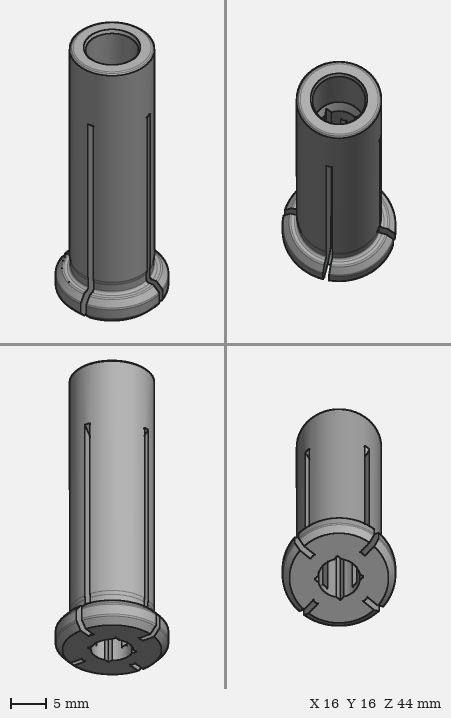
import cadquery as cq
import math

length = 44
cut_margin = 0.45

head_radius = 8.0
head_height = 4.1
head_end_radius = 7.0
lower_chamfer_height = 1.1
upper_chamfer_height = 1.1
head_corner_fillet = 0.4
head_rim_fillet = 0.35

body_radius = 12.0 / 2
neck_radius = 5.9
neck_fillet = 0.45
neck_top = 5.68
body_bottom = 6.25
body_top_chamfer = 0.35
body_top_fillet = 0.35

upper_bore_radius = 7.5 / 2
upper_bore_depth = 8.8
bore_step_angle = 60
mouth_chamfer = 0.25
mouth_chamfer_height = 0.55
lower_bore_radius = 5.95 / 2
drive_square = 4.9

slot_width = 0.9
slot_outer_top = 34.05
slot_inner_bottom = 2.05
slot_count = 4


def fillet_ring(body, height, radius):
    """Round the circular edge centred on the axis at the given height."""
    edge = cq.selectors.NearestToPointSelector((0, 0, height))
    return body.edges("%CIRCLE").edges(edge).fillet(radius)


def make_outer_body():
    shoulder = head_height - upper_chamfer_height
    profile = [
        (0, 0),
        (head_end_radius, 0),
        (head_radius, lower_chamfer_height),
        (head_radius, shoulder),
        (head_end_radius, head_height),
        (neck_radius, head_height),
        (neck_radius, neck_top),
        (body_radius, body_bottom),
        (body_radius, length),
        (0, length),
    ]
    body = cq.Workplane("XZ").polyline(profile).close().revolve(360, (0, 0), (0, 1))
    body = fillet_ring(body, shoulder, head_corner_fillet)
    body = fillet_ring(body, lower_chamfer_height, head_corner_fillet)
    body = body.faces(">Z").edges().chamfer(body_top_chamfer)
    body = body.faces(">Z").edges().fillet(body_top_fillet)

    head_face = body.faces(cq.selectors.NearestToPointSelector((0, 0, head_height)))
    rim = head_face.edges(cq.selectors.RadiusNthSelector(1))
    body = rim.fillet(head_rim_fillet)
    head_face = body.faces(cq.selectors.NearestToPointSelector((0, 0, head_height)))
    root = head_face.edges(cq.selectors.RadiusNthSelector(0))
    return root.fillet(neck_fillet)


def make_bore():
    step_top = length - upper_bore_depth
    cone_height = (upper_bore_radius - lower_bore_radius) / math.tan(math.radians(bore_step_angle / 2))
    profile = [
        (0, -cut_margin),
        (lower_bore_radius, -cut_margin),
        (lower_bore_radius, step_top - cone_height),
        (upper_bore_radius, step_top),
        (upper_bore_radius, length - mouth_chamfer_height),
        (upper_bore_radius + mouth_chamfer, length),
        (0, length),
    ]
    bore = cq.Workplane("XZ").polyline(profile).close().revolve(360, (0, 0), (0, 1))
    drive = (
        cq.Workplane("XY", origin=(0, 0, -cut_margin))
        .rect(drive_square, drive_square)
        .extrude(step_top + cut_margin)
    )
    return bore.union(drive)


def make_slot():
    """One radial slot, growing longer outwards at both 45 degree ends."""
    slot_reach = head_radius + cut_margin
    ramp_offset = slot_outer_top - body_radius
    lower_offset = slot_inner_bottom + lower_bore_radius
    profile = [
        (0, lower_offset),
        (slot_reach, lower_offset - slot_reach),
        (slot_reach, ramp_offset + slot_reach),
        (0, ramp_offset),
    ]
    return cq.Workplane("XZ").polyline(profile).close().extrude(slot_width / 2, both=True)


result = make_outer_body().cut(make_bore())
slot = make_slot()
for index in range(slot_count):
    result = result.cut(slot.rotate((0, 0, 0), (0, 0, 1), index * 360 / slot_count))